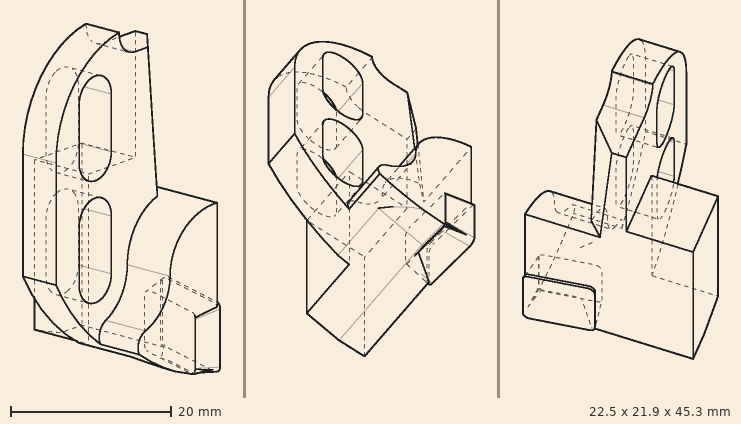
import cadquery as cq
import math

SHANK_END = 8.87
PLATE_END = 14.35
HEAD_END = 22.35
OVERALL_X = 22.5
END_RELIEF = math.tan(math.radians(7))

PLATE_DEPTH = 21.45
PLATE_TOP = 42.0
PEAK_Y = -9.4
PEAK_Z = 45.3
NOTCH_RADIUS = 3.05
CROWN_END_Z = 31.15
BELLY_START_Z = 15.12

FLAT_Z = 1.65
FLAT_DEPTH = 4.0
SLOPE_END_Y = -10.75
SLOPE_END_Z = 3.75

SHANK_DEPTH = 8.95
SHANK_TOP = 25.5

SLOT_WIDTH = 6.15
SLOT_LENGTH = 13.7
SLOT_Y = -14.0
SLOT_CENTRES_Z = (17.85, 33.82)

SHOULDER_RADIUS = 7.9
SHOULDER_CENTRE_Z = 14.5
THROAT_RADIUS = 6.9
THROAT_ANGLE = math.radians(66)
LIP_RADIUS = 2.15
LIP_UNDERCUT = math.radians(40)
HEAD_ROOT = 9.05

CORNER_TOP_X = 3.55
CORNER_TOP_Y = 4.0
CORNER_LOW_X = 1.95
CORNER_LOW_Y = 2.15
CORNER_LOW_Z = 22.05

EDGE_SLOPE = math.tan(math.radians(11))
NOSE_START = 17.4
INSERT_LEFT = 12.95
INSERT_THICKNESS = 4.08
INSERT_PROUD = 0.4
INSERT_TAPER = 8.0
INSERT_HEIGHT = 9.3
INSERT_CORNER_RADIUS = 0.8
INSERT_TIP_DROP = 0.17


def prism(profile, start, end):
    """Extrude a YZ profile along X from start to end."""
    return profile.extrude(end - start).translate((start, 0, 0))


def polar(centre, radius, angle):
    """Point on a circle in the YZ plane, angle measured from +Y."""
    return (centre[0] + radius * math.cos(angle), centre[1] + radius * math.sin(angle))


def make_envelope():
    """Full-length block limited at the front and bottom by the plate outline."""
    notch_centre = (PEAK_Y + NOTCH_RADIUS, PLATE_TOP + NOTCH_RADIUS)
    rise = CROWN_END_Z - PEAK_Z
    run = PLATE_DEPTH + PEAK_Y
    crown_radius = (run**2 + rise**2) / (2 * run)
    crown_centre = (crown_radius - PLATE_DEPTH, CROWN_END_Z)
    peak_angle = math.atan2(PEAK_Z - CROWN_END_Z, PEAK_Y - crown_centre[0])
    belly_end = (-FLAT_DEPTH, 0.65)
    below_nose = -0.45
    profile = (
        cq.Workplane("YZ")
        .moveTo(0, PLATE_TOP)
        .lineTo(notch_centre[0], PLATE_TOP)
        .threePointArc(polar(notch_centre, NOTCH_RADIUS, math.radians(225)), (PEAK_Y, notch_centre[1]))
        .lineTo(PEAK_Y, PEAK_Z)
        .threePointArc(
            polar(crown_centre, crown_radius, (peak_angle + math.pi) / 2),
            (-PLATE_DEPTH, CROWN_END_Z),
        )
        .lineTo(-PLATE_DEPTH, BELLY_START_Z)
        .threePointArc((SLOPE_END_Y, SLOPE_END_Z), belly_end)
        .lineTo(0, below_nose)
        .close()
    )
    return prism(profile, 0, OVERALL_X)


def make_underside_limit(start, end):
    """Everything above the flat and sloped underside."""
    slope = (SLOPE_END_Z - FLAT_Z) / (-SLOPE_END_Y - FLAT_DEPTH)
    front_z = FLAT_Z + slope * (PLATE_DEPTH - FLAT_DEPTH)
    profile = cq.Workplane("YZ").polyline([
        (0, FLAT_Z),
        (-FLAT_DEPTH, FLAT_Z),
        (-PLATE_DEPTH, front_z),
        (-PLATE_DEPTH, PEAK_Z),
        (0, PEAK_Z),
    ]).close()
    return prism(profile, start, end)


def make_shank():
    block = cq.Workplane("XY").box(SHANK_END, SHANK_DEPTH, SHANK_TOP, centered=False)
    block = block.translate((0, -SHANK_DEPTH, 0))
    return block.intersect(make_underside_limit(0, SHANK_END))


def make_corner_cut():
    """Wedge tapering downward along the back corner of the plate."""
    return (
        cq.Workplane("XY", origin=(PLATE_END, 0, CORNER_LOW_Z))
        .polyline([(0, 0), (-CORNER_LOW_X, 0), (0, -CORNER_LOW_Y)]).close()
        .workplane(offset=PLATE_TOP - CORNER_LOW_Z)
        .polyline([(0, 0), (-CORNER_TOP_X, 0), (0, -CORNER_TOP_Y)]).close()
        .loft(ruled=True)
    )


def make_plate():
    plate = make_underside_limit(SHANK_END, PLATE_END).intersect(make_envelope())
    for z in SLOT_CENTRES_Z:
        slot = cq.Workplane("YZ").center(SLOT_Y, z).slot2D(SLOT_LENGTH, SLOT_WIDTH, 90)
        plate = plate.cut(slot.extrude(PLATE_END))
    return plate.cut(make_corner_cut())


def make_head_profile():
    shoulder_centre = (0, SHOULDER_CENTRE_Z)
    throat_centre = (-SHOULDER_RADIUS - THROAT_RADIUS, SHOULDER_CENTRE_Z)
    throat_end = polar(throat_centre, THROAT_RADIUS, -THROAT_ANGLE)
    lip_centre = polar(throat_centre, THROAT_RADIUS + LIP_RADIUS, -THROAT_ANGLE)
    lip_end = polar(lip_centre, LIP_RADIUS, math.pi + LIP_UNDERCUT)
    return (
        cq.Workplane("YZ")
        .moveTo(0, SHOULDER_CENTRE_Z + SHOULDER_RADIUS)
        .threePointArc(
            polar(shoulder_centre, SHOULDER_RADIUS, math.radians(135)),
            (-SHOULDER_RADIUS, SHOULDER_CENTRE_Z),
        )
        .threePointArc(polar(throat_centre, THROAT_RADIUS, -THROAT_ANGLE / 2), throat_end)
        .threePointArc(polar(lip_centre, LIP_RADIUS, math.pi), lip_end)
        .lineTo(lip_end[0], 0)
        .lineTo(0, 0)
        .close()
    )


def make_nose():
    """Sloping underside of the head, dropping along X."""
    height = SHOULDER_CENTRE_Z - FLAT_Z
    slope = (SLOPE_END_Z - FLAT_Z) / (-SLOPE_END_Y - FLAT_DEPTH)
    drop = (OVERALL_X - NOSE_START) * EDGE_SLOPE
    front_lift = slope * (PLATE_DEPTH - FLAT_DEPTH)

    def section(base):
        return [
            (0, base),
            (-FLAT_DEPTH, base),
            (-PLATE_DEPTH, base + front_lift),
            (-PLATE_DEPTH, base + height),
            (0, base + height),
        ]

    return (
        cq.Workplane("YZ", origin=(NOSE_START, 0, 0))
        .polyline(section(FLAT_Z)).close()
        .workplane(offset=OVERALL_X - NOSE_START)
        .polyline(section(FLAT_Z - drop)).close()
        .loft(ruled=True)
    )


def make_head():
    underside = make_underside_limit(HEAD_ROOT, OVERALL_X).union(make_nose())
    profile = make_head_profile()
    end_limit = (
        cq.Workplane("XY", origin=(0, 0, -PEAK_Z))
        .polyline([
            (0, 0),
            (HEAD_END, 0),
            (HEAD_END - PLATE_DEPTH * END_RELIEF, -PLATE_DEPTH),
            (0, -PLATE_DEPTH),
        ])
        .close()
        .extrude(2 * PEAK_Z)
    )
    head = prism(profile, HEAD_ROOT, OVERALL_X).intersect(underside)
    return head.intersect(make_envelope()).intersect(end_limit)


def make_holder(insert):
    """Shank, plate and head in one piece, with a pocket that fits the insert."""
    return make_shank().union(make_plate()).union(make_head()).cut(insert)


def make_insert():
    """Rhomboid with rounded corners and tapered sides, sunk into the back face."""
    low_right = -INSERT_TIP_DROP
    low_left = low_right + (OVERALL_X - INSERT_LEFT) * EDGE_SLOPE
    return (
        cq.Workplane("XZ", origin=(0, INSERT_PROUD, 0))
        .polyline([
            (INSERT_LEFT, low_left),
            (OVERALL_X, low_right),
            (OVERALL_X, low_right + INSERT_HEIGHT),
            (INSERT_LEFT, low_left + INSERT_HEIGHT),
        ])
        .close()
        .extrude(INSERT_THICKNESS, taper=INSERT_TAPER)
        .edges("not #Y")
        .fillet(INSERT_CORNER_RADIUS)
    )


insert = make_insert()
holder = make_holder(insert)
result = cq.Compound.makeCompound([holder.val(), insert.val()])